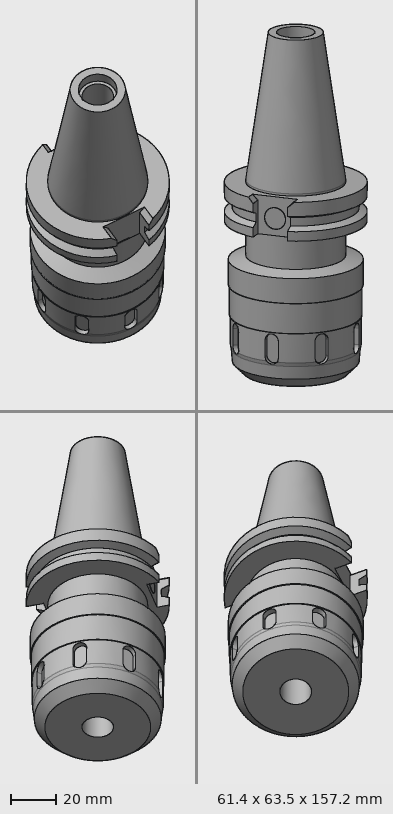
import cadquery as cq


gauge_diameter = 44.45
taper_length = 68.25
taper_ratio = 7 / 24
shank_top_diameter = gauge_diameter - taper_ratio * taper_length
collar_height = 1.0

flange_diameter = 63.5
flange_bottom = -19.05
groove_root_diameter = 56.4
groove_center = -11.1
groove_root_width = 4.0
groove_mouth_width = 7.1

slot_width = 16.38
near_slot_floor = 22.6
far_slot_floor = 25.0
slot_chamfer = 2.5
slot_recess_diameter = 10.0
slot_recess_depth = 0.2

projection = 88.9
neck_diameter = 44.45
body_diameter = 60.0
nut_diameter = 59.0
grip_diameter = 58.2
nose_diameter = 57.4
nose_edge_diameter = 56.4
nose_face_diameter = 47.0
shoulder_top = -35.0
shoulder_bottom = -36.9
body_bottom = -48.6
nut_bottom = -62.7
grip_bottom = -76.3
nose_top = -78.1
nose_edge = -84.1

wrench_slot_count = 8
wrench_slot_width = 6.3
wrench_slot_length = 14.0
wrench_slot_center = -70.5
wrench_slot_floor = 26.6

bore_diameter = 14.0
counterbore_diameter = 17.0
counterbore_depth = 5.3


def frustum(top_z, top_diameter, bottom_z, bottom_diameter):
    """Round section between two heights, cylindrical or conical."""
    top_radius = top_diameter / 2
    bottom_radius = bottom_diameter / 2
    outline = [(0, bottom_z), (bottom_radius, bottom_z), (top_radius, top_z), (0, top_z)]
    return cq.Workplane("XZ").polyline(outline).close().revolve(360, (0, 0, 0), (0, 1, 0))


def make_flange():
    mouth_top = groove_center + groove_mouth_width / 2
    mouth_bottom = groove_center - groove_mouth_width / 2
    root_top = groove_center + groove_root_width / 2
    root_bottom = groove_center - groove_root_width / 2
    flange = frustum(-collar_height, flange_diameter, mouth_top, flange_diameter)
    flange = flange.union(frustum(mouth_top, flange_diameter, root_top, groove_root_diameter))
    flange = flange.union(frustum(root_top, groove_root_diameter, root_bottom, groove_root_diameter))
    flange = flange.union(frustum(root_bottom, groove_root_diameter, mouth_bottom, flange_diameter))
    return flange.union(frustum(mouth_bottom, flange_diameter, flange_bottom, flange_diameter))


def drive_slot(floor, side):
    """Cutter for a slot with a chamfered mouth; side is +1 for +X and -1 for -X."""
    half = slot_width / 2
    flange_top = -collar_height
    outline = [
        (-half, flange_bottom),
        (half, flange_bottom),
        (half, flange_top - slot_chamfer),
        (half + slot_chamfer, flange_top),
        (-half - slot_chamfer, flange_top),
        (-half, flange_top - slot_chamfer),
    ]
    return cq.Workplane("YZ", origin=(side * floor, 0, 0)).polyline(outline).close().extrude(side * floor)


def slot_floor_recess():
    """Very shallow round recess in the -X slot floor, level with the V-groove."""
    plane = cq.Workplane("YZ", origin=(-far_slot_floor, 0, groove_center))
    return plane.circle(slot_recess_diameter / 2).extrude(slot_recess_depth)


def make_chuck():
    chuck = frustum(flange_bottom, neck_diameter, shoulder_top, neck_diameter)
    chuck = chuck.union(frustum(shoulder_top, neck_diameter, shoulder_bottom, body_diameter))
    chuck = chuck.union(frustum(shoulder_bottom, body_diameter, body_bottom, body_diameter))
    chuck = chuck.union(frustum(body_bottom, nut_diameter, nut_bottom, nut_diameter))
    chuck = chuck.union(frustum(nut_bottom, grip_diameter, grip_bottom, grip_diameter))
    chuck = chuck.union(frustum(grip_bottom, grip_diameter, nose_top, nose_diameter))
    chuck = chuck.union(frustum(nose_top, nose_diameter, nose_edge, nose_edge_diameter))
    return chuck.union(frustum(nose_edge, nose_edge_diameter, -projection, nose_face_diameter))


def wrench_slot(angle):
    plane = cq.Workplane("YZ", origin=(wrench_slot_floor, 0, wrench_slot_center))
    cutter = plane.slot2D(wrench_slot_length, wrench_slot_width, 90).extrude(wrench_slot_floor)
    return cutter.rotate((0, 0, 0), (0, 0, 1), angle)


shank = frustum(taper_length, shank_top_diameter, 0, gauge_diameter)
collar = frustum(0, gauge_diameter, -collar_height, gauge_diameter)
flange = make_flange()
flange = flange.cut(drive_slot(near_slot_floor, 1)).cut(drive_slot(far_slot_floor, -1))
flange = flange.cut(slot_floor_recess())

chuck = make_chuck()
for index in range(wrench_slot_count):
    chuck = chuck.cut(wrench_slot(index * 360 / wrench_slot_count))

bore = frustum(taper_length, bore_diameter, -projection, bore_diameter)
counterbore = frustum(
    taper_length, counterbore_diameter, taper_length - counterbore_depth, counterbore_diameter
)
result = shank.union(collar).union(flange).union(chuck).cut(bore).cut(counterbore)